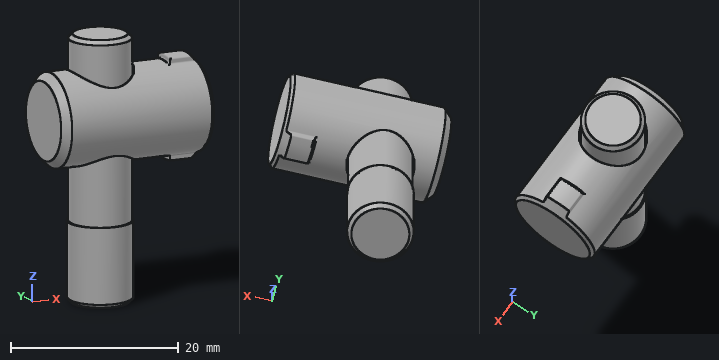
import cadquery as cq


barrel_diameter = 11.7
barrel_length = 20.0
barrel_left = -7.52
barrel_right = barrel_left + barrel_length
left_chamfer = 1.0
right_chamfer = 0.43
bolt_hole_diameter = 8.15

lug_diameter = 13.0
lug_length = 4.0
lug_width = 3.33
lug_fillet = 0.2
edge_margin = 0.15
foot_margin = 0.03

shank_diameter = 7.7
thread_diameter = 8.0
bolt_length = 33.0
bolt_top = 10.0
bolt_bottom = bolt_top - bolt_length
thread_length = 10.0
top_chamfer = 0.53
bottom_chamfer = 0.53


def x_cylinder(diameter, start, length):
    """Cylinder along the barrel axis."""
    return cq.Workplane("YZ", origin=(start, 0, 0)).circle(diameter / 2).extrude(length)


def z_cylinder(diameter, bottom, length):
    """Cylinder along the bolt axis."""
    return cq.Workplane("XY", origin=(0, 0, bottom)).circle(diameter / 2).extrude(length)


def lug_edges(inner_radius, outer_radius):
    """Selector for the lug edges lying between two distances above or below the barrel axis."""
    first_x = barrel_right - lug_length - edge_margin
    last_x = barrel_right - edge_margin
    upper = cq.selectors.BoxSelector((first_x, -lug_width, inner_radius), (last_x, lug_width, outer_radius))
    lower = cq.selectors.BoxSelector((first_x, -lug_width, -outer_radius), (last_x, lug_width, -inner_radius))
    return upper + lower


def make_lugs():
    """Both lugs as one round-topped block that runs through the barrel."""
    lug_left = barrel_right - lug_length
    block = cq.Workplane("YZ", origin=(lug_left, 0, 0)).rect(lug_width, lug_diameter).extrude(lug_length)
    lugs = block.intersect(x_cylinder(lug_diameter, lug_left, lug_length))
    return lugs.edges(lug_edges(barrel_diameter / 2, lug_diameter / 2)).fillet(lug_fillet)


def make_barrel():
    """Barrel with lugs, one conical right end over both, and a cross hole for the bolt."""
    barrel_radius = barrel_diameter / 2
    body = x_cylinder(barrel_diameter, barrel_left, barrel_length).faces("<X").chamfer(left_chamfer)
    body = body.union(make_lugs())
    foot_inner_radius = (barrel_radius**2 - (lug_width / 2) ** 2) ** 0.5 - edge_margin
    foot_outer_radius = barrel_radius - foot_margin
    body = body.edges(lug_edges(foot_inner_radius, foot_outer_radius)).fillet(lug_fillet)

    lug_height = (lug_diameter - barrel_diameter) / 2
    envelope = x_cylinder(lug_diameter, barrel_left, barrel_length)
    envelope = envelope.faces(">X").chamfer(right_chamfer + lug_height)
    bolt_hole = z_cylinder(bolt_hole_diameter, -barrel_radius, barrel_diameter)
    return body.intersect(envelope).cut(bolt_hole)


def make_bolt():
    thread = z_cylinder(thread_diameter, bolt_bottom, thread_length)
    thread = thread.faces("<Z").chamfer(bottom_chamfer)
    shank = z_cylinder(shank_diameter, bolt_bottom + thread_length, bolt_length - thread_length)
    shank = shank.faces(">Z").chamfer(top_chamfer)
    return thread.union(shank)


barrel = make_barrel()
bolt = make_bolt()
result = cq.Compound.makeCompound([barrel.val(), bolt.val()])